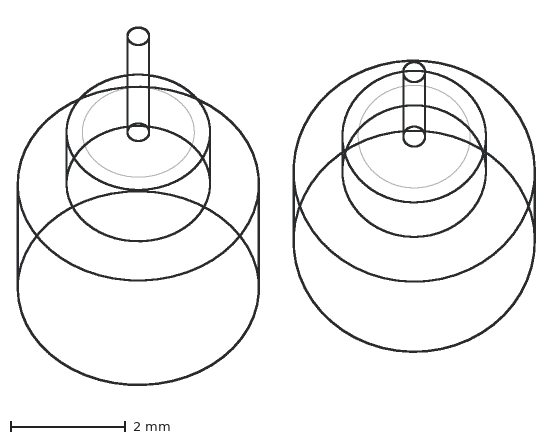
import cadquery as cq

body_diameter = 4.2
neck_diameter = 2.5
insulator_diameter = 1.95
pin_diameter = 0.38
total_height = 7.35
neck_height = 1.5
pin_length = 2.8

neck_top = total_height - pin_length
body_top = neck_top - neck_height


def cylinder(diameter, bottom, top):
    """Upright cylinder on the Z axis between two levels."""
    return cq.Workplane("XY").workplane(offset=bottom).circle(diameter / 2).extrude(top - bottom)


body = cylinder(body_diameter, 0, body_top)
neck = cylinder(neck_diameter, body_top, neck_top)
insulator = cylinder(insulator_diameter, body_top, neck_top)
shell = body.union(neck).cut(insulator)

pin = cylinder(pin_diameter, neck_top, total_height)

result = shell.union(insulator, clean=False).union(pin, clean=False)